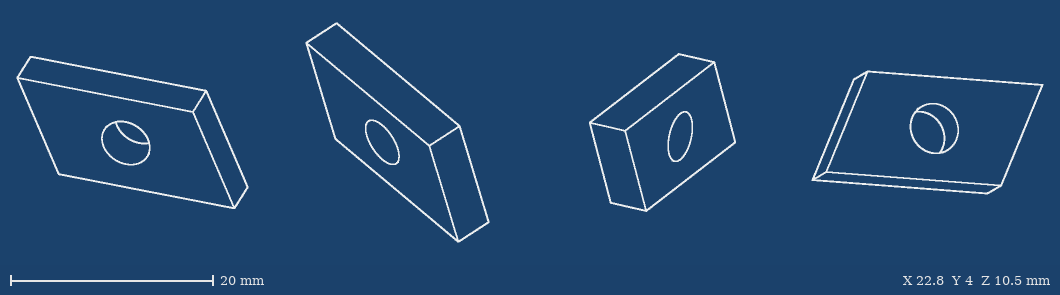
import cadquery as cq

length = 22.75
thickness = 4.0
height = 10.5

slant = 4.35
hole_diameter = 5.0

half_length = length / 2
half_height = height / 2

outline = [
    (-half_length, half_height),
    (half_length - slant, half_height),
    (half_length, -half_height),
    (-half_length + slant, -half_height),
]
plate = cq.Workplane("XZ").polyline(outline).close().extrude(thickness / 2, both=True)

result = plate.faces("<Y").workplane(centerOption="CenterOfBoundBox").hole(hole_diameter)